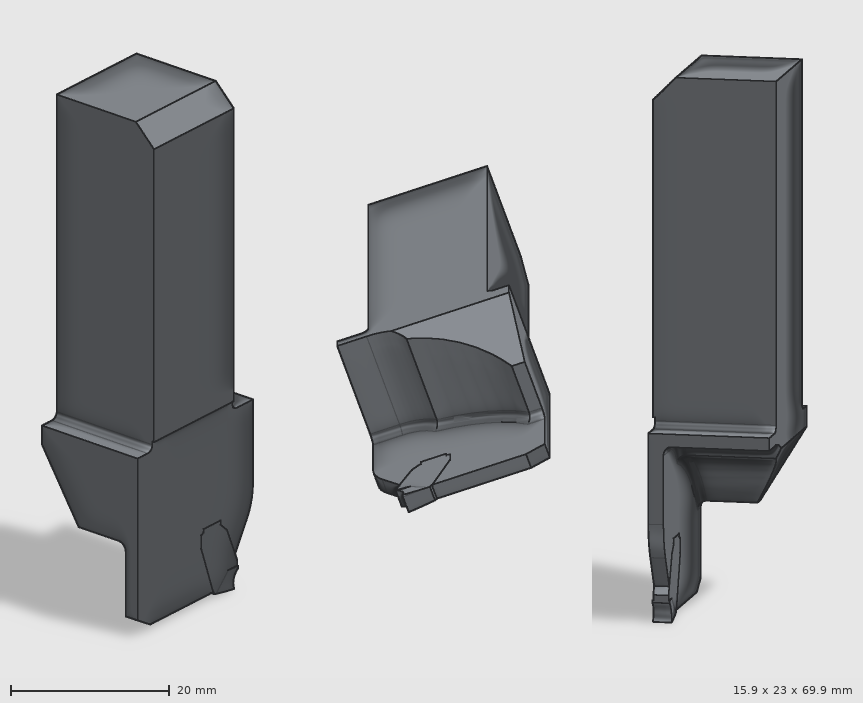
import cadquery as cq
import math

overall_height = 69.85

shank_size = 15.87
shank_chamfer = 2.95
shank_fillet = 0.9
shank_wide_bottom_z = 26.2

head_width = 22.95
head_min_y = -2.93
head_max_y = head_min_y + head_width
head_top_z = 24.9
head_bottom_z = 0.95
side_relief = 0.26
head_max_x = shank_size - side_relief
flank_angle = 30
flank_start_z = 13.3
flank_radius = 9.0
heel_length = 2.5
heel_angle = 30

blade_thickness = 1.97
blade_min_x = head_max_x - blade_thickness
pocket_fillet = 1.1
pocket_margin = 5.0
pocket_high_z = 23.25
pocket_low_z = 12.55
high_arc_start_y = 16.1
high_arc_radius = 6.05
high_arc_angle = 55.5
low_arc_radius = 22.0
low_arc_end_y = -1.2

slope_start_z = 22.28
slope_run = 6.0

insert_bottom_rear = (12.4, 0.55)
insert_rear_low = (12.0, 1.2)
nose_line_z = 2.95
insert_tip = (16.0, 0.0)
rake_middle = (15.9, 1.1)
rake_top = (16.9, 2.65)
front_corner_low = (16.9, 3.65)
insert_outline_rest = [
    front_corner_low,
    (14.8, 8.65),
    (13.6, 9.75),
    (13.6, 10.4),
    (10.25, 10.4),
    (10.25, 9.95),
    (9.7, 9.7),
    (9.7, 7.85),
    insert_rear_low,
]

nose_corner_y = 15.0
flare_length = 8.0
flare_direction_angle = 45
cutting_corner_radius = 0.2


def box(x0, x1, y0, y1, z0, z1):
    """Box between two limits on each axis."""
    return cq.Workplane("XY").box(x1 - x0, y1 - y0, z1 - z0, centered=False).translate((x0, y0, z0))


def make_shank():
    """Square shank with a chamfered top edge and a relieved foot."""
    wide = box(0, shank_size, 0, shank_size, shank_wide_bottom_z, overall_height)
    wide = wide.edges(">X and >Z").chamfer(shank_chamfer)
    foot = box(0, head_max_x, 0, shank_size, head_top_z, shank_wide_bottom_z)
    return wide.union(foot)


def make_head():
    """Full-width head with the curved flank and the angled heel of the blade."""
    angle = math.radians(flank_angle)
    half_angle = angle / 2
    arc_middle = (
        head_max_y - flank_radius * (1 - math.cos(half_angle)),
        flank_start_z - flank_radius * math.sin(half_angle),
    )
    arc_end = (
        head_max_y - flank_radius * (1 - math.cos(angle)),
        flank_start_z - flank_radius * math.sin(angle),
    )
    flank_end_y = arc_end[0] - (arc_end[1] - head_bottom_z) * math.tan(angle)
    heel_height = heel_length * math.tan(math.radians(heel_angle))
    return (
        cq.Workplane("YZ")
        .moveTo(head_max_y, head_top_z)
        .lineTo(head_max_y, flank_start_z)
        .threePointArc(arc_middle, arc_end)
        .lineTo(flank_end_y, head_bottom_z)
        .lineTo(head_min_y + heel_length, head_bottom_z)
        .lineTo(head_min_y, head_bottom_z + heel_height)
        .lineTo(head_min_y, head_top_z)
        .close()
        .extrude(head_max_x)
    )


def make_clearance_pocket():
    """Cutter for the space beside the blade: a stepped curved wall, rounded where it meets the blade."""
    angle = math.radians(high_arc_angle)
    half_angle = angle / 2
    arc_middle = (
        high_arc_start_y - high_arc_radius * math.sin(half_angle),
        pocket_high_z - high_arc_radius * (1 - math.cos(half_angle)),
    )
    wall_corner = (
        high_arc_start_y - high_arc_radius * math.sin(angle),
        pocket_high_z - high_arc_radius * (1 - math.cos(angle)),
    )
    outer_y = head_max_y + pocket_margin
    inner_y = head_min_y - pocket_margin
    cutter = (
        cq.Workplane("YZ")
        .workplane(offset=-pocket_margin)
        .moveTo(outer_y, pocket_high_z)
        .lineTo(high_arc_start_y, pocket_high_z)
        .threePointArc(arc_middle, wall_corner)
        .radiusArc((low_arc_end_y, pocket_low_z), -low_arc_radius)
        .lineTo(inner_y, pocket_low_z)
        .lineTo(inner_y, -pocket_margin)
        .lineTo(outer_y, -pocket_margin)
        .close()
        .extrude(blade_min_x + pocket_margin)
    )
    wall_box = cq.selectors.BoxSelector(
        (0, inner_y + pocket_fillet, 0),
        (head_max_x, outer_y - pocket_fillet, overall_height),
    )
    return cutter.faces(">X").edges(wall_box).fillet(pocket_fillet)


def make_slope():
    """Cutter for the sloped face between the -X side and the underside."""
    return (
        cq.Workplane("XZ", origin=(0, head_max_y, 0))
        .moveTo(0, slope_start_z)
        .lineTo(slope_run, pocket_low_z)
        .lineTo(0, pocket_low_z)
        .close()
        .extrude(head_width)
    )


def insert_prism(x0, x1):
    """Insert outline extruded from x0 to x1."""
    return (
        cq.Workplane("YZ")
        .workplane(offset=x0)
        .moveTo(*insert_bottom_rear)
        .lineTo(*insert_tip)
        .threePointArc(rake_middle, rake_top)
        .polyline(insert_outline_rest, includeCurrent=True)
        .close()
        .extrude(x1 - x0)
    )


def make_nose_flare():
    """Wedge that thickens evenly away from a diagonal line, level with the shank at the tip."""
    direction = math.radians(flare_direction_angle)
    tip_dy = insert_tip[0] - nose_corner_y
    tip_dz = nose_line_z - insert_tip[1]
    tip_distance = tip_dy * math.sin(direction) + tip_dz * math.cos(direction)
    growth = side_relief * flare_length / tip_distance
    wedge_plane = cq.Plane(
        origin=(0, nose_corner_y, nose_line_z),
        xDir=(1, 0, 0),
        normal=(0, math.cos(direction), math.sin(direction)),
    )
    return (
        cq.Workplane(wedge_plane)
        .moveTo(blade_min_x, 0)
        .lineTo(head_max_x, 0)
        .lineTo(head_max_x + growth, flare_length)
        .lineTo(blade_min_x - growth, flare_length)
        .close()
        .extrude(flare_length, both=True)
    )


def make_corner_envelope():
    """Insert outline at the full cutting width, with both cutting corners rounded along the underside."""
    envelope = insert_prism(blade_min_x - side_relief, shank_size)
    underside_box = cq.selectors.BoxSelector(
        (0, insert_bottom_rear[0], insert_tip[1]),
        (2 * shank_size, insert_tip[0] - cutting_corner_radius, insert_bottom_rear[1]),
    )
    return envelope.edges("not |X").edges(underside_box).fillet(cutting_corner_radius)


def make_insert():
    """Cutting insert: a flat body flush with the blade and a flared nose."""
    wide_insert = insert_prism(0, 2 * shank_size)
    below_nose_line = box(0, 2 * shank_size, 0, head_max_y, insert_tip[1], nose_line_z)
    nose = wide_insert.intersect(make_nose_flare()).intersect(below_nose_line)
    body = insert_prism(blade_min_x, head_max_x).union(nose)
    return body.intersect(make_corner_envelope())


def make_holder():
    """Shank, head and blade in one piece, with a seat for the insert."""
    body = make_shank().union(make_head())
    foot_edges = cq.selectors.BoxSelector(
        (0, -shank_fillet / 2, head_top_z - shank_fillet / 2),
        (shank_size, shank_size + shank_fillet / 2, head_top_z + shank_fillet / 2),
    )
    body = body.edges("|X").edges(foot_edges).fillet(shank_fillet)
    body = body.cut(make_slope()).cut(make_clearance_pocket())
    return body.cut(insert_prism(blade_min_x, head_max_x))


holder = make_holder().solids()
insert = make_insert().solids()
result = cq.Compound.makeCompound([holder.val(), insert.val()])